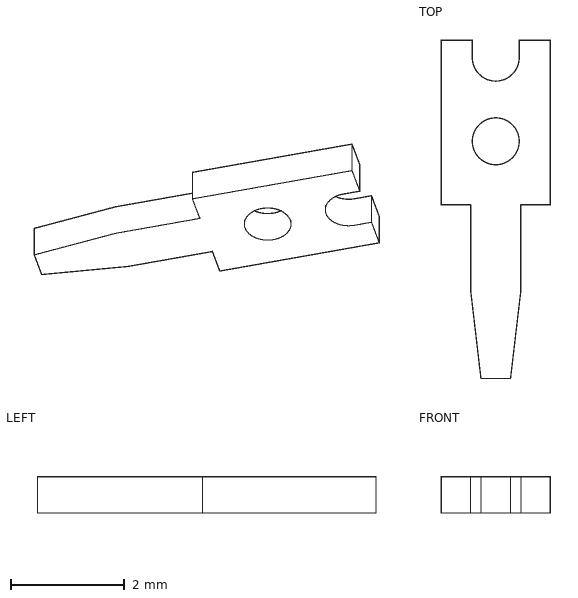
import cadquery as cq

length = 5.94
head_width = 1.91
thickness = 0.64

head_length = 2.89
taper_length = 1.52

shank_width = 0.88
tip_width = 0.52

hole_diameter = 0.82
hole_from_head_end = 1.775
slot_center_depth = 0.31

head_end_y = length
shoulder_y = length - head_length
hole_y = head_end_y - hole_from_head_end
slot_center_y = head_end_y - slot_center_depth


def make_blade():
    """Flat plate: wide head, narrow shank and tapered tip."""
    right_side = [
        (tip_width / 2, 0),
        (shank_width / 2, taper_length),
        (shank_width / 2, shoulder_y),
        (head_width / 2, shoulder_y),
        (head_width / 2, head_end_y),
    ]
    left_side = [(-x, y) for x, y in reversed(right_side)]
    return cq.Workplane("XY").polyline(right_side + left_side).close().extrude(thickness)


def make_round_cutter(center_y):
    """Through cylinder on the centre line."""
    return cq.Workplane("XY").center(0, center_y).circle(hole_diameter / 2).extrude(thickness)


def make_slot_cutter():
    """U-shaped slot with a round bottom, open at the head end."""
    mouth = (
        cq.Workplane("XY")
        .center(0, slot_center_y + slot_center_depth / 2)
        .rect(hole_diameter, slot_center_depth)
        .extrude(thickness)
    )
    return mouth.union(make_round_cutter(slot_center_y))


result = make_blade().cut(make_round_cutter(hole_y)).cut(make_slot_cutter())